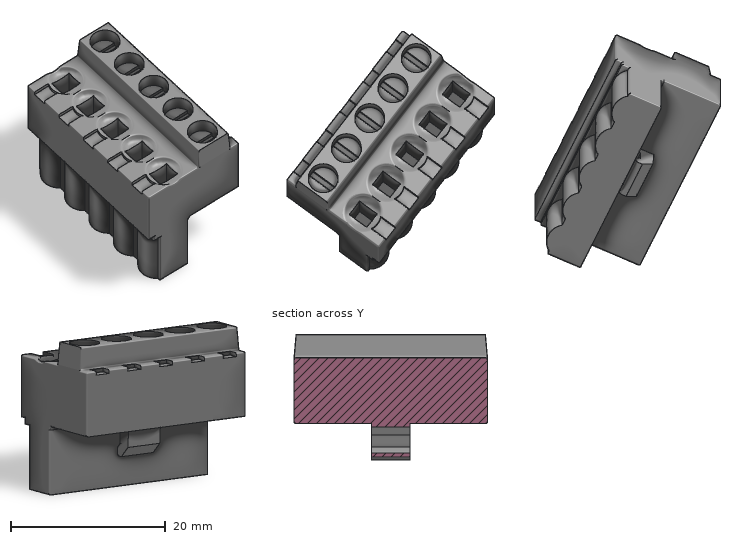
import cadquery as cq
import math

length = 25.0
depth = 15.0
height = 20.5
pole_count = 5
pitch = length / pole_count
pole_centres = [(i + 0.5) * pitch for i in range(pole_count)]

deck_z = 17.5
rear_underside_z = 9.0
front_underside_z = 9.25
ledge_y = 0.85
ledge_underside_z = 8.42
stem_front_y = 1.88
stem_back_y = 6.52
stem_chamfer_y = 0.4
stem_chamfer_z = 0.45
edge_radius = 0.25

ridge_front_y = 8.5
ridge_back_y = 13.35
ridge_draft = 5.0
ridge_rise = height - deck_z
ridge_spread = ridge_rise * math.tan(math.radians(ridge_draft))

screw_y = 10.9
screw_radius = 1.92
screw_depth = 2.0
slot_width = 0.75
slot_depth = 0.5

funnel_y = 4.42
funnel_radius = 2.62
lip_run = 0.4
bowl_floor_radius = 1.1
bowl_floor_z = 16.75
wire_width = 2.22
wire_length = 2.82
wire_floor_z = 11.25

groove_width = 2.0
groove_floor_z = 17.0
groove_rim_radius = 2.3

column_half_width = 2.02

latch_width = pitch
latch_web_z = 8.55
latch_tip_y = 7.5
latch_tip_z = 4.28
latch_tip_radius = 0.4


def cylinder(x, y, z_bottom, z_top, radius):
    return cq.Workplane("XY", origin=(x, y, z_bottom)).circle(radius).extrude(z_top - z_bottom)


def rectangular_block(x, y, z_bottom, z_top, size_x, size_y):
    return cq.Workplane("XY", origin=(x, y, z_bottom)).rect(size_x, size_y).extrude(z_top - z_bottom)


def wire_funnel(x):
    """Cutter for one funnel: a lip arc tangent to a bowl arc that ends level at the floor."""
    drop = deck_z - bowl_floor_z
    slope = 2 * math.atan(drop / (funnel_radius - bowl_floor_radius))
    lip_radius = lip_run / math.sin(slope)
    lip_inner = funnel_radius - lip_run
    lip_z = deck_z - lip_radius * (1 - math.cos(slope))
    bowl_radius = (lip_inner - bowl_floor_radius) / math.sin(slope)

    half_slope = slope / 2
    bowl_middle = (
        bowl_floor_radius + bowl_radius * math.sin(half_slope),
        bowl_floor_z + bowl_radius * (1 - math.cos(half_slope)),
    )
    lip_middle = (
        funnel_radius - lip_radius * math.sin(half_slope),
        deck_z - lip_radius * (1 - math.cos(half_slope)),
    )
    bowl = (
        cq.Workplane("XZ")
        .moveTo(0, height)
        .lineTo(0, bowl_floor_z)
        .lineTo(bowl_floor_radius, bowl_floor_z)
        .threePointArc(bowl_middle, (lip_inner, lip_z))
        .threePointArc(lip_middle, (funnel_radius, deck_z))
        .lineTo(funnel_radius, height)
        .close()
        .revolve(360, (0, 0, 0), (0, 1, 0))
        .translate((x, funnel_y, 0))
    )
    wire_hole = rectangular_block(x, funnel_y, wire_floor_z, deck_z, wire_width, wire_length)
    return bowl.union(wire_hole)


def housing():
    """Block and stem with funnels; the end edges are rounded after the funnels break into them."""
    points = [
        (0, deck_z),
        (0, front_underside_z),
        (ledge_y, front_underside_z),
        (ledge_y, ledge_underside_z),
        (stem_front_y, ledge_underside_z),
        (stem_front_y, 0),
        (stem_back_y, 0),
        (stem_back_y, rear_underside_z - stem_chamfer_z),
        (stem_back_y + stem_chamfer_y, rear_underside_z),
        (depth, rear_underside_z),
        (depth, deck_z),
    ]
    body = cq.Workplane("YZ").polyline(points).close().extrude(length)
    for x in pole_centres:
        body = body.cut(wire_funnel(x))
    return body.edges("<X or >X or (>Z and |X)").fillet(edge_radius)


def ridge():
    """Drafted ridge, with a footing that fills the rounded deck edges below its ends."""
    middle_y = (ridge_front_y + ridge_back_y) / 2
    block = (
        cq.Workplane("XY", origin=(length / 2, middle_y, height))
        .rect(length - 2 * ridge_spread, ridge_back_y - ridge_front_y)
        .extrude(-ridge_rise, taper=-ridge_draft)
    )
    block = block.edges(">Z and |X").fillet(edge_radius)
    footing = block.faces("<Z").wires().toPending().extrude(-edge_radius)
    return block.union(footing)


def round_ridge_root(body):
    """Fillet the two long inside corners between the ridge and the deck."""
    margin = 0.02
    root_zone = cq.selectors.BoxSelector(
        (0, ridge_front_y - ridge_spread - margin, deck_z - margin),
        (length, ridge_back_y + ridge_spread + margin, deck_z + margin),
    )
    return body.edges("|X").edges(root_zone).fillet(edge_radius)


def column(x):
    """Segment of a cylinder that bulges from the stem front out to the ledge."""
    rooted_y = stem_front_y + edge_radius
    return (
        cq.Workplane("XY")
        .moveTo(x - column_half_width, rooted_y)
        .lineTo(x - column_half_width, stem_front_y)
        .threePointArc((x, ledge_y), (x + column_half_width, stem_front_y))
        .lineTo(x + column_half_width, rooted_y)
        .close()
        .extrude(front_underside_z)
    )


def latch():
    """Hook hanging below the rear underside, joined to the stem by a thin web."""
    points = [
        (stem_back_y, rear_underside_z),
        (10.1, rear_underside_z),
        (9.9, 5.72),
        (8.42, latch_tip_z),
        (latch_tip_y, latch_tip_z),
        (latch_tip_y, 5.32),
        (8.15, 5.98),
        (8.15, 7.5),
        (7.7, latch_web_z),
        (stem_back_y, latch_web_z),
    ]
    start_x = (length - latch_width) / 2
    hook = cq.Workplane("YZ", origin=(start_x, 0, 0)).polyline(points).close().extrude(latch_width)
    margin = 0.02
    tip_zone = cq.selectors.BoxSelector(
        (0, latch_tip_y - margin, 0),
        (length, latch_tip_y + margin, latch_web_z - margin),
    )
    return hook.edges("|X").edges(tip_zone).fillet(latch_tip_radius)


def screw_recess(x):
    """Cutter for a round recess whose floor carries a screwdriver slot."""
    floor_z = height - screw_depth
    slot_floor_z = floor_z - slot_depth
    recess = cylinder(x, screw_y, floor_z, height, screw_radius)
    slot = rectangular_block(x, screw_y, slot_floor_z, height, slot_width, 2 * screw_radius)
    return recess.union(slot.intersect(cylinder(x, screw_y, slot_floor_z, height, screw_radius)))


def front_groove(x):
    """Cutter for a front groove, which stops against the round rim of the funnel."""
    groove = rectangular_block(x, funnel_y / 2, groove_floor_z, deck_z, groove_width, funnel_y)
    return groove.cut(cylinder(x, funnel_y, groove_floor_z, deck_z, groove_rim_radius))


def rear_groove(x):
    """Cutter for a rear groove, which stops at the foot of the ridge."""
    start_y = ridge_back_y + ridge_spread
    middle_y = (start_y + depth) / 2
    return rectangular_block(x, middle_y, groove_floor_z, deck_z, groove_width, depth - start_y)


result = round_ridge_root(housing().union(ridge()))
result = result.union(latch())
for pole_x in pole_centres:
    result = result.union(column(pole_x))
    result = result.cut(screw_recess(pole_x))
    result = result.cut(front_groove(pole_x))
    result = result.cut(rear_groove(pole_x))